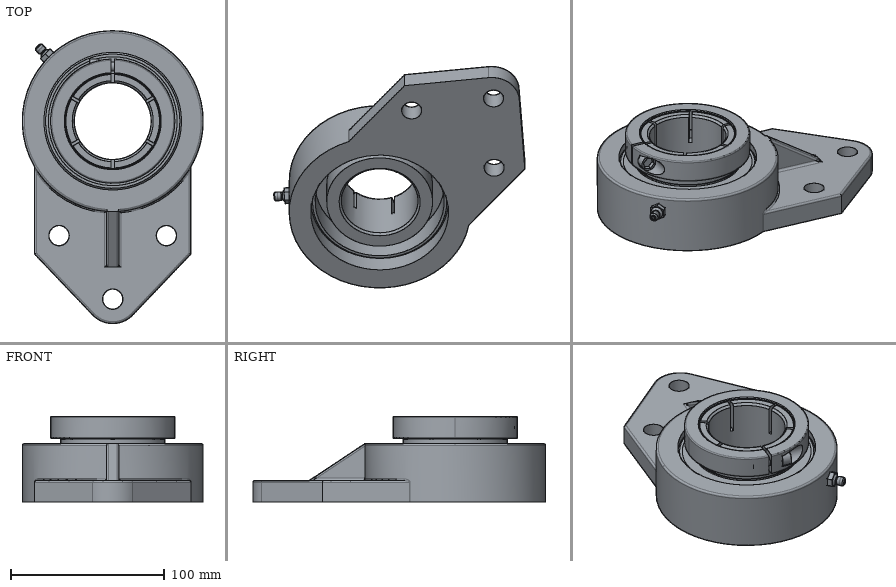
import cadquery as cq
import math


housing_diameter = 118.0
housing_radius = housing_diameter / 2
housing_height = 38.0
housing_edge_radius = 1.3
housing_bore_radius = 89.74 / 2

plate_width = 102.0
plate_thickness = 14.0
plate_edge_radius = 1.3
plate_foot_fillet = 1.0
plate_end_y = -132.0
plate_nose_radius = 18.0
plate_nose_y = plate_end_y + plate_nose_radius
plate_shoulder_y = -86.6
bolt_diameter = 13.0
side_bolt_x = 35.0
side_bolt_y = -74.6
nose_bolt_y = -116.0

rib_width = 8.0
rib_end_y = -95.2
rib_edge_radius = 1.3
rib_foot_fillet = 1.5

outer_ring_top = 34.4
outer_ring_width = 22.0
outer_ring_chamfer = 1.1
outer_ring_bore_radius = 84.0 / 2
seal_thickness = 2.0
inner_ring_bottom = outer_ring_top - outer_ring_width
inner_ring_body_radius = 69.02 / 2
inner_ring_body_top = 35.5
inner_ring_land_radius = 68.0 / 2
inner_ring_land_top = 41.0
inner_ring_bore_radius = 50.0 / 2
inner_ring_bore_chamfer = 1.4
inner_ring_edge_chamfer = 0.5

collar_bottom = 41.4
collar_top = 55.9
collar_outer_radius = 81.0 / 2
collar_edge_radius = 0.75
collar_bore_radius = 31.0
collar_bore_chamfer = 0.6
collar_slit_width = 2.0
inner_ring_top = collar_top - 0.9
slot_count = 6
slot_width = 2.0
slot_bottom = 35.0

screw_y = 35.6
screw_z = (collar_bottom + collar_top) / 2
screw_diameter = 6.0
screw_clearance_diameter = 6.4
screw_shank_length = 20.0
screw_head_diameter = 10.0
screw_head_length = 6.0
screw_seat_x = -9.0
screw_pocket_diameter = 11.0
screw_socket_flats = 7.0
screw_socket_turn = 13.0
screw_socket_depth = 3.0

nipple_angle = 135.0
nipple_z = 28.2
nipple_stem_diameter = 6.0
nipple_stem_start = 50.0
nipple_hex_start = 57.5
nipple_hex_end = 62.2
nipple_hex_flats = 9.0
nipple_cone_radius = 4.0
nipple_neck_radius = 4.92 / 2
nipple_neck_start = 63.5
nipple_neck_end = 64.2
nipple_head_base = 64.5
nipple_head_base_radius = 2.8
nipple_head_crest = 66.7
nipple_head_crest_radius = 6.0 / 2
nipple_head_shoulder = 68.5
nipple_tip = 69.2
nipple_tip_radius = 1.7
nipple_hole_diameter = 1.98
nipple_hole_depth = 2.0


def cylinder(radius, bottom, top):
    return cq.Workplane("XY").workplane(offset=bottom).circle(radius).extrude(top - bottom)


def plate_outline():
    """Plate outline from the bearing axis to the round nose, with flanks tangent to the nose."""
    half_width = plate_width / 2
    rise = plate_shoulder_y - plate_nose_y
    shoulder_distance = math.hypot(half_width, rise)
    tangent_angle = math.atan2(rise, half_width) - math.acos(plate_nose_radius / shoulder_distance)
    tangent_x = plate_nose_radius * math.cos(tangent_angle)
    tangent_y = plate_nose_y + plate_nose_radius * math.sin(tangent_angle)
    return (
        cq.Workplane("XY")
        .moveTo(-half_width, 0)
        .lineTo(half_width, 0)
        .lineTo(half_width, plate_shoulder_y)
        .lineTo(tangent_x, tangent_y)
        .threePointArc((0, plate_end_y), (-tangent_x, tangent_y))
        .lineTo(-half_width, plate_shoulder_y)
        .close()
    )


def make_rib_profile():
    """Side outline of the rib, from inside the housing wall to its foot on the plate."""
    inside_y = -housing_bore_radius
    return (
        cq.Workplane("YZ")
        .moveTo(inside_y, 0)
        .lineTo(inside_y, housing_height)
        .lineTo(-housing_radius, housing_height)
        .lineTo(rib_end_y, plate_thickness)
        .lineTo(rib_end_y, 0)
        .close()
    )


def make_rib():
    """Web that falls from the housing rim to the plate, rounded along its sloping edges."""
    web = make_rib_profile().extrude(rib_width / 2, both=True)
    slope_y = (rib_end_y - housing_radius) / 2
    slope_z = (plate_thickness + housing_height) / 2
    slope_box = cq.selectors.BoxSelector(
        (-rib_width, slope_y - 1, slope_z - 1), (rib_width, slope_y + 1, slope_z + 1)
    )
    return web.edges(slope_box).fillet(rib_edge_radius)


def make_rib_feet():
    """Concave strips that round the corners between the rib's sides and the plate."""
    side_x = rib_width / 2
    bend = rib_foot_fillet * (1 - math.sqrt(0.5))
    strip = (
        cq.Workplane("XZ", origin=(0, -housing_radius, plate_thickness))
        .moveTo(side_x, 0)
        .lineTo(side_x + rib_foot_fillet, 0)
        .threePointArc((side_x + bend, bend), (side_x, rib_foot_fillet))
        .close()
        .extrude(-housing_radius - rib_end_y)
    )
    slope_limit = make_rib_profile().extrude(plate_width / 2, both=True)
    strip = strip.intersect(slope_limit)
    return strip.union(strip.mirror("YZ"))


def make_housing():
    plate = plate_outline().extrude(plate_thickness).faces(">Z").edges("not >Y").fillet(plate_edge_radius)
    drum = cylinder(housing_radius, 0, housing_height).faces(">Z").edges().fillet(housing_edge_radius)
    body = drum.union(plate)
    foot_box = cq.selectors.BoxSelector(
        (-1, -housing_radius, plate_thickness - 0.1), (1, -housing_bore_radius + 5, plate_thickness + 0.1)
    )
    body = body.edges(foot_box).fillet(plate_foot_fillet)
    body = body.union(make_rib()).union(make_rib_feet())
    bolt_places = [(-side_bolt_x, side_bolt_y), (side_bolt_x, side_bolt_y), (0, nose_bolt_y)]
    bolts = cq.Workplane("XY").pushPoints(bolt_places).circle(bolt_diameter / 2).extrude(plate_thickness)
    bore = cylinder(housing_bore_radius, 0, housing_height)
    return body.cut(bolts).cut(bore)


def make_outer_ring():
    ring = cylinder(housing_bore_radius, outer_ring_top - outer_ring_width, outer_ring_top)
    ring = ring.edges().chamfer(outer_ring_chamfer)
    return ring.cut(cylinder(outer_ring_bore_radius, 0, housing_height))


def make_seal():
    seal = cylinder(outer_ring_bore_radius, outer_ring_top - seal_thickness, outer_ring_top)
    return seal.cut(cylinder(inner_ring_body_radius, 0, housing_height))


def make_inner_ring():
    body = cylinder(inner_ring_body_radius, inner_ring_bottom, inner_ring_body_top)
    land = cylinder(inner_ring_land_radius, inner_ring_body_top, inner_ring_land_top)
    neck = cylinder(collar_bore_radius, inner_ring_land_top, inner_ring_top)
    neck = neck.faces(">Z").edges().chamfer(inner_ring_edge_chamfer)
    ring = body.union(land).union(neck).cut(cylinder(inner_ring_bore_radius, 0, collar_top))
    ring = ring.edges(cq.selectors.RadiusNthSelector(0)).chamfer(inner_ring_bore_chamfer)
    reach = cylinder(collar_bore_radius, slot_bottom, collar_top)
    for index in range(slot_count):
        slot = (
            cq.Workplane("XY")
            .box(collar_bore_radius + 1, slot_width, collar_top - slot_bottom, centered=(False, True, False))
            .translate((0, 0, slot_bottom))
            .rotate((0, 0, 0), (0, 0, 1), 90 + index * 360 / slot_count)
        )
        ring = ring.cut(slot.intersect(reach))
    return ring


def screw_cylinder(diameter, start_x, length):
    """Cylinder on the clamp screw's axis."""
    return cq.Workplane("YZ", origin=(start_x, screw_y, screw_z)).circle(diameter / 2).extrude(length)


def make_screw():
    head_x = screw_seat_x - screw_head_length
    head = screw_cylinder(screw_head_diameter, head_x, screw_head_length)
    shank = screw_cylinder(screw_diameter, screw_seat_x, screw_shank_length)
    socket = (
        cq.Workplane("YZ", origin=(head_x, screw_y, screw_z))
        .transformed(rotate=(0, 0, screw_socket_turn))
        .polygon(6, screw_socket_flats / math.cos(math.pi / 6))
        .extrude(screw_socket_depth)
    )
    return head.union(shank).cut(socket)


def make_collar():
    collar = cylinder(collar_outer_radius, collar_bottom, collar_top)
    collar = collar.cut(cylinder(collar_bore_radius, collar_bottom, collar_top))
    collar = collar.edges(cq.selectors.RadiusNthSelector(-1)).fillet(collar_edge_radius)
    collar = collar.faces(">Z").edges(cq.selectors.RadiusNthSelector(0)).chamfer(collar_bore_chamfer)
    slit = cq.Workplane("XY").box(
        collar_slit_width, collar_outer_radius, collar_top, centered=(True, False, False)
    )
    pocket = screw_cylinder(screw_pocket_diameter, -collar_outer_radius, collar_outer_radius + screw_seat_x)
    clearance = screw_cylinder(screw_clearance_diameter, screw_seat_x, -screw_seat_x)
    thread = screw_cylinder(screw_diameter, screw_seat_x, screw_shank_length)
    return collar.cut(slit).cut(pocket).cut(clearance).cut(thread)


def make_nipple():
    """Nipple along +X, then turned about the bearing axis to its place."""
    fitting = (
        cq.Workplane("XY")
        .moveTo(nipple_stem_start, 0)
        .lineTo(nipple_stem_start, nipple_stem_diameter / 2)
        .lineTo(nipple_hex_end, nipple_stem_diameter / 2)
        .lineTo(nipple_hex_end, nipple_cone_radius)
        .lineTo(nipple_neck_start, nipple_neck_radius)
        .lineTo(nipple_neck_end, nipple_neck_radius)
        .lineTo(nipple_head_base, nipple_head_base_radius)
        .lineTo(nipple_head_crest, nipple_head_crest_radius)
        .lineTo(nipple_head_shoulder, nipple_head_base_radius)
        .lineTo(nipple_tip, nipple_tip_radius)
        .lineTo(nipple_tip, 0)
        .close()
        .revolve(360, (0, 0, 0), (1, 0, 0))
    )
    hexagon = (
        cq.Workplane("YZ", origin=(nipple_hex_start, 0, 0))
        .polygon(6, nipple_hex_flats / math.cos(math.pi / 6))
        .extrude(nipple_hex_end - nipple_hex_start)
        .rotate((0, 0, 0), (1, 0, 0), 90)
    )
    grease_hole = (
        cq.Workplane("YZ", origin=(nipple_tip, 0, 0))
        .circle(nipple_hole_diameter / 2)
        .extrude(-nipple_hole_depth)
    )
    nipple = fitting.union(hexagon).cut(grease_hole)
    return nipple.translate((0, 0, nipple_z)).rotate((0, 0, 0), (0, 0, 1), nipple_angle)


nipple = make_nipple()
housing = make_housing().cut(nipple)
outer_ring = make_outer_ring()
seal = make_seal()
inner_ring = make_inner_ring()
collar = make_collar()
screw = make_screw()

result = cq.Compound.makeCompound([
    housing.val(),
    outer_ring.val(),
    seal.val(),
    inner_ring.val(),
    collar.val(),
    screw.val(),
    nipple.val(),
])